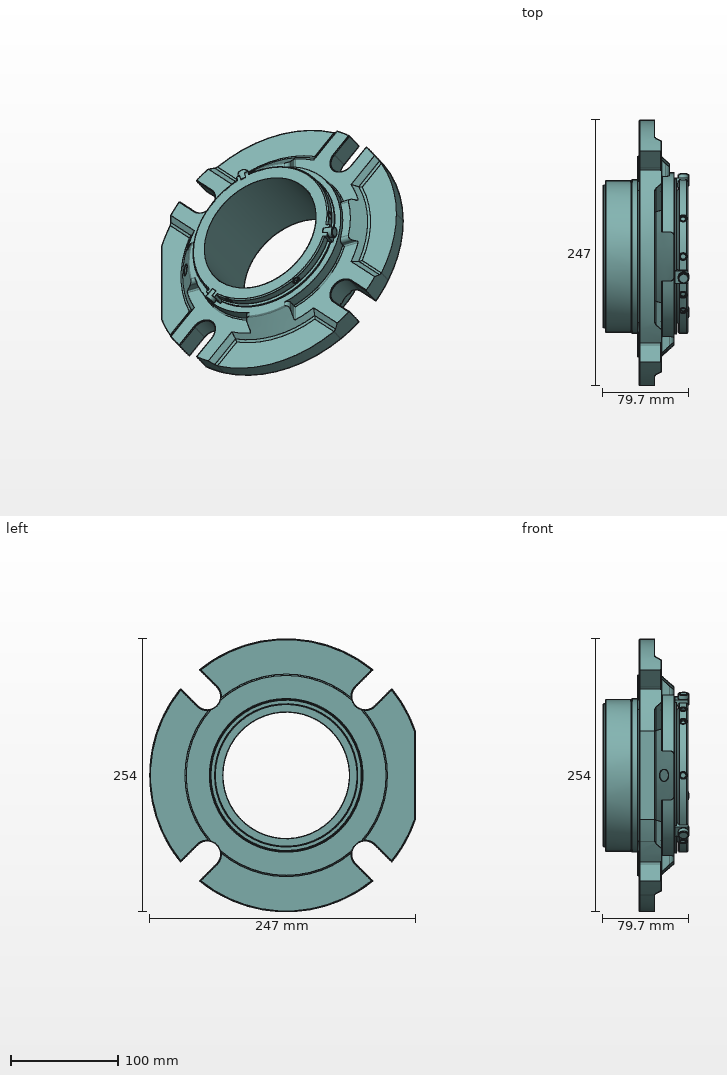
import cadquery as cq
import math


bore_dia = 117.5
neck_dia = 123.8
sleeve_end_dia = 133.2
groove_dia = 138.3
spigot_dia = 141.3
pilot_dia = 142.9
disc_dia = 144.5
collar_dia = 142.9
hub_radius = 78.0
face_radius = 92.9
face_foot_radius = 94.1
flange_radius = 127.0

spigot_start = 2.0
groove_start = 26.0
groove_end = 27.0
raised_face = 32.0
flange_back = 33.5
flange_front = 48.0
base_front = 54.0
hub_front = 66.0
disc_start = 66.7
disc_end = 68.3
collar_start = 69.8
collar_end = 79.0
edge_chamfer = 0.8
collar_chamfer = 1.3

cone_radius = 98.5
cone_slope = 0.9
block_half_width = 22.8
short_block_front = 62.0
block_fillet = 4.0
foot_size = 1.3
port_dia = 11.2
port_depth = 0.5
port_x = 56.8
pad_half_width = 28.0
pad_inner_radius = 83.7
flat_distance = 120.0

slot_angles = (45, 135, 225, 315)
slot_width = 24.9
slot_end_radius = 91.4

clip_angles = (15, 135, 255)
clip_half_width = 6.0
clip_inner_radius = 68.5
clip_outer_radius = 74.0
head_dia = 10.0
head_top_radius = 79.0
head_x = 74.73
screw_angles = (-30, 0, 30, 45, 90, 150, 210, 270)
screw_dia = 5.0
screw_mouth_dia = 7.0
screw_depth = 2.5
screw_x = (collar_start + collar_end) / 2


def about_axis(body, angle):
    """Turn a body built at +Z about the X axis, towards -Y."""
    return body.rotate((0, 0, 0), (1, 0, 0), angle)


def turned(outline):
    """Revolve an (x, radius) outline about the X axis."""
    return cq.Workplane("XY").polyline(outline).close().revolve(360, (0, 0, 0), (1, 0, 0))


def cylinder(start, end, radius):
    return cq.Workplane("YZ", origin=(start, 0, 0)).circle(radius).extrude(end - start)


def box(x_range, half_width, z_range):
    """Box centred on Y = 0."""
    (x0, x1), (z0, z1) = x_range, z_range
    size = (x1 - x0, 2 * half_width, z1 - z0)
    return cq.Workplane("XY").box(*size).translate(((x0 + x1) / 2, 0, (z0 + z1) / 2))


def radial_cylinder(x, dia, inner, outer):
    """Cylinder pointing along +Z between two distances from the axis."""
    return cq.Workplane("XY", origin=(x, 0, inner)).circle(dia / 2).extrude(outer - inner)


def cone_radius_at(x):
    return cone_radius - cone_slope * (x - flange_front)


def distance_from_axis(edge):
    middle = edge.positionAt(0.5)
    return math.hypot(middle.y, middle.z)


def make_sleeve():
    spigot_radius = spigot_dia / 2
    outline = [
        (0, 0),
        (0, sleeve_end_dia / 2 - edge_chamfer),
        (edge_chamfer, sleeve_end_dia / 2),
        (spigot_start, sleeve_end_dia / 2),
        (spigot_start, spigot_radius - edge_chamfer),
        (spigot_start + edge_chamfer, spigot_radius),
        (groove_start, spigot_radius),
        (groove_start, groove_dia / 2),
        (groove_end, groove_dia / 2),
        (groove_end, pilot_dia / 2),
        (raised_face, pilot_dia / 2),
        (raised_face, face_radius),
        (flange_back, face_foot_radius),
        (flange_back, neck_dia / 2),
        (collar_end, neck_dia / 2),
        (collar_end, 0),
    ]
    return turned(outline)


def make_pad():
    """Raised bar across the flange at one slot, its flanks sloping out at 45 degrees to the flange."""
    foot = pad_half_width + base_front - flange_front
    section = [
        (flange_back, -foot - foot_size),
        (flange_front, -foot - foot_size),
        (flange_front + foot_size, -foot + foot_size),
        (base_front, -pad_half_width),
        (base_front, pad_half_width),
        (flange_front + foot_size, foot - foot_size),
        (flange_front, foot + foot_size),
        (flange_back, foot + foot_size),
    ]
    bar = cq.Workplane("XY", origin=(0, 0, pad_inner_radius)).polyline(section).close()
    bar = bar.extrude(flange_radius - pad_inner_radius)
    return bar.intersect(cylinder(flange_back, base_front, flange_radius))


def slot_outline(x, half_width):
    """Round-ended slot, open past the rim, on the plane at the given X."""
    end_centre = slot_end_radius + slot_width / 2
    outer = flange_radius + slot_width
    outline = cq.Workplane("YZ", origin=(x, 0, 0)).moveTo(-half_width, outer)
    outline = outline.lineTo(-half_width, end_centre)
    outline = outline.threePointArc((0, end_centre - half_width), (half_width, end_centre))
    return outline.lineTo(half_width, outer).close()


def make_slot():
    """Cutter for one bolt slot, with its edges broken on the flange back and on the pad."""
    half_width = slot_width / 2
    mouth_half_width = half_width + edge_chamfer
    slot = slot_outline(raised_face, half_width).extrude(hub_front - raised_face)
    back_mouth = slot_outline(flange_back, mouth_half_width).extrude(edge_chamfer, taper=45)
    back_mouth = back_mouth.cut(cylinder(flange_back, flange_front, face_foot_radius))
    front_mouth = slot_outline(base_front, mouth_half_width).extrude(-edge_chamfer, taper=45)
    return slot.union(back_mouth).union(front_mouth)


def make_block(front):
    """Straight-sided bar with rounded front corners, reaching out past the gland cone."""
    bar = box((flange_front, front), block_half_width, (neck_dia / 2, flange_radius))
    return bar.edges("|Z and >X").fillet(block_fillet)


def make_hub():
    """Gland cone cut back to its wide base, the round hub and the four blocks."""
    cone = turned([
        (flange_front, 0),
        (flange_front, cone_radius + foot_size),
        (flange_front + foot_size, cone_radius_at(flange_front + foot_size)),
        (hub_front, cone_radius_at(hub_front)),
        (hub_front, 0),
    ])
    cone = cone.faces(">X").edges().fillet(foot_size)
    kept = cylinder(flange_front, base_front, flange_radius)
    kept = kept.union(cylinder(flange_front, hub_front, hub_radius))
    for angle in (0, 90, 180):
        kept = kept.union(about_axis(make_block(hub_front), angle))
    kept = kept.union(about_axis(make_block(short_block_front), 270))
    hub = cone.intersect(kept)
    foot_reach = cone_radius_at(base_front)
    foot_edges = hub.faces(cq.selectors.BoxSelector(
        (base_front - 0.03, -foot_reach, -foot_reach),
        (base_front + 0.03, foot_reach, foot_reach),
    )).edges().filter(lambda edge: distance_from_axis(edge) < foot_reach - foot_size)
    return foot_edges.fillet(foot_size)


def make_port():
    """Shallow round recess square to the sloped face of a block."""
    normal = cq.Vector(cone_slope, 0, 1)
    mouth = cq.Vector(port_x, 0, cone_radius_at(port_x))
    start = mouth - normal.normalized() * port_depth
    plane = cq.Plane(origin=start.toTuple(), xDir=(0, 1, 0), normal=normal.toTuple())
    return cq.Workplane(plane).circle(port_dia / 2).extrude(port_depth * 10)


def make_gland():
    gland = make_hub()
    for angle in slot_angles:
        gland = gland.union(about_axis(make_pad(), angle))
    gland = gland.union(cylinder(flange_back, flange_front, flange_radius))
    gland = gland.cut(about_axis(make_port(), 90))
    flat_cut = box((0, collar_end), flange_radius, (flat_distance, 2 * flange_radius))
    gland = gland.cut(about_axis(flat_cut, 90))
    return gland.faces("<X").edges().chamfer(edge_chamfer)


def make_collar():
    collar = cylinder(collar_start, collar_end, collar_dia / 2).edges().chamfer(collar_chamfer)
    for angle in screw_angles:
        surface = collar_dia / 2
        hole = radial_cylinder(screw_x, screw_dia, surface - screw_depth, flange_radius)
        mouth = radial_cylinder(screw_x, screw_mouth_dia, surface - edge_chamfer, flange_radius)
        collar = collar.cut(about_axis(hole.union(mouth), angle))
    return collar


def make_clip():
    tab = box((disc_start, collar_end), clip_half_width, (clip_inner_radius, clip_outer_radius))
    head = radial_cylinder(head_x, head_dia, clip_inner_radius, head_top_radius)
    return tab.union(head.faces(">Z").edges().chamfer(edge_chamfer))


result = make_sleeve().union(make_gland())
for slot_angle in slot_angles:
    result = result.cut(about_axis(make_slot(), slot_angle))
result = result.union(cylinder(disc_start, disc_end, disc_dia / 2)).union(make_collar())
for clip_angle in clip_angles:
    result = result.union(about_axis(make_clip(), clip_angle))
result = result.cut(cylinder(0, collar_end, bore_dia / 2))